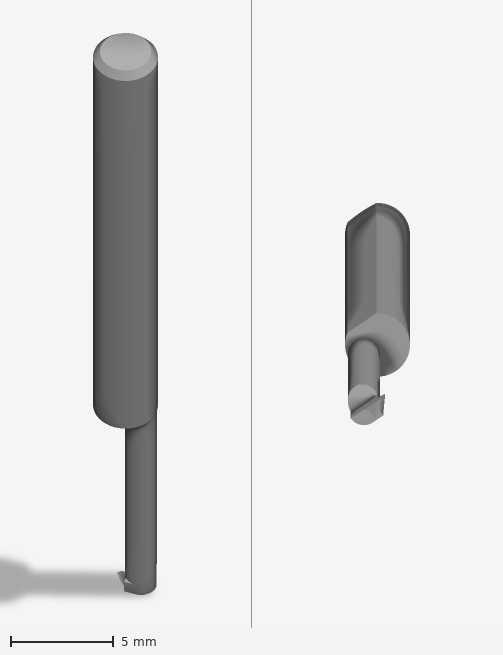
import cadquery as cq
import math

total_length = 38.1
shank_diameter = 3.15
shank_length = 25.4
flat_offset = 1.35
chamfer_height = 0.4
chamfer_width = 0.35

neck_diameter = 1.55
neck_radius = neck_diameter / 2
neck_x = shank_diameter / 2 - neck_radius
shoulder_z = total_length - shank_length
neck_bottom = 0.1

rake_start_z = 1.6
rake_slope = 45.0
block_left = 0.2
block_top = 0.8
tooth_tip_x = -0.45
tooth_tip_z = 0.45
tooth_half_height = 0.2
tooth_shoulder_x = -0.2
heel_x = 0.08
upper_root_z = 0.9
tooth_back_x = 0.2
tooth_back_scale = 0.7


def make_shank():
    """Round shank with a chamfered top and a flat on the +Y side."""
    shank = (
        cq.Workplane("XY")
        .workplane(offset=shoulder_z)
        .circle(shank_diameter / 2)
        .extrude(shank_length)
        .faces(">Z")
        .chamfer(chamfer_height, chamfer_width)
    )
    flat_cut = (
        cq.Workplane("XY")
        .box(shank_diameter, shank_diameter, total_length, centered=(True, False, False))
        .translate((0, flat_offset, 0))
    )
    return shank.cut(flat_cut)


def make_neck():
    """Slender offset neck, cut back to half its thickness at the end."""
    neck = (
        cq.Workplane("XY", origin=(neck_x, 0, neck_bottom))
        .circle(neck_radius)
        .extrude(shoulder_z - neck_bottom)
    )
    slope_top = rake_start_z + neck_diameter * math.tan(math.radians(rake_slope))
    rake_cut = (
        cq.Workplane("YZ")
        .polyline([(0, 0), (neck_diameter, 0), (neck_diameter, slope_top), (0, rake_start_z)])
        .close()
        .extrude(shank_diameter, both=True)
    )
    return neck.cut(rake_cut)


def make_tip_block():
    """Square backing behind the tooth, filling the corner beside the round neck."""
    return (
        cq.Workplane("XY", origin=(block_left, 0, neck_bottom))
        .box(neck_x - block_left, neck_radius, block_top - neck_bottom, centered=False)
        .translate((0, -neck_radius, 0))
    )


def tooth_outline(y, tip_x, height_scale):
    """Closed tooth outline on a plane of constant Y, with its tip at tip_x."""
    shift_x = tip_x - tooth_tip_x
    tooth_base_z = tooth_tip_z - 2 * tooth_half_height
    tooth_top_z = tooth_tip_z + tooth_half_height
    corners = [
        (tooth_tip_x, tooth_tip_z),
        (tooth_shoulder_x, tooth_top_z),
        (0, tooth_top_z),
        (heel_x, upper_root_z),
        (neck_x, upper_root_z),
        (neck_x, neck_bottom),
        (heel_x, 0),
        (tooth_shoulder_x, tooth_base_z),
    ]
    points = [
        cq.Vector(min(x + shift_x, neck_x), y, tooth_tip_z + height_scale * (z - tooth_tip_z))
        for x, z in corners
    ]
    return cq.Wire.makePolygon(points, close=True)


def make_tooth():
    """Pointed tooth whose flanks fall back from the rake face toward -Y."""
    rake_outline = tooth_outline(0, tooth_tip_x, 1)
    back_outline = tooth_outline(-neck_radius, tooth_back_x, tooth_back_scale)
    return cq.Workplane(cq.Solid.makeLoft([rake_outline, back_outline], True))


result = make_shank().union(make_neck()).union(make_tip_block()).union(make_tooth())